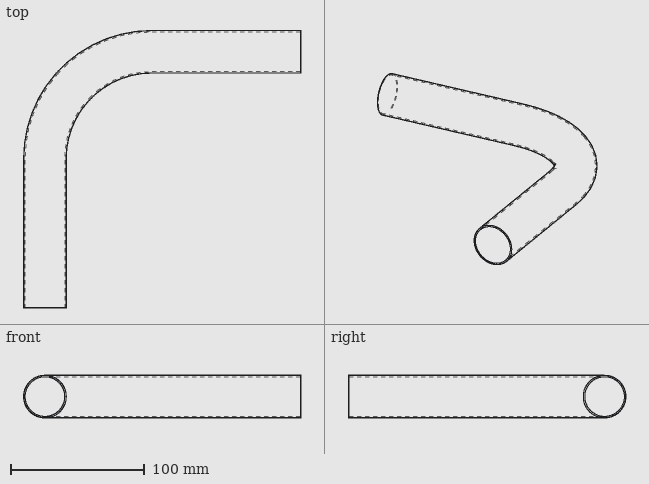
import cadquery as cq

overall_length = 207.5
outer_diameter = 32.0
inner_diameter = 29.7
bend_radius = 80.0
bend_angle = 90.0

outer_radius = outer_diameter / 2
inner_radius = inner_diameter / 2
leg_length = overall_length - outer_radius - bend_radius


def tube_section(workplane):
    """Draw the ring-shaped cross-section of the tube."""
    return workplane.circle(outer_radius).circle(inner_radius)


y_leg = tube_section(
    cq.Workplane("XZ", origin=(-bend_radius, 0, 0))
).extrude(leg_length)

x_leg = tube_section(
    cq.Workplane("YZ", origin=(0, bend_radius, 0))
).extrude(leg_length)

bend = tube_section(
    cq.Workplane("YZ", origin=(0, bend_radius, 0))
).revolve(bend_angle, (-bend_radius, 0), (-bend_radius, 1))

result = y_leg.union(bend).union(x_leg)